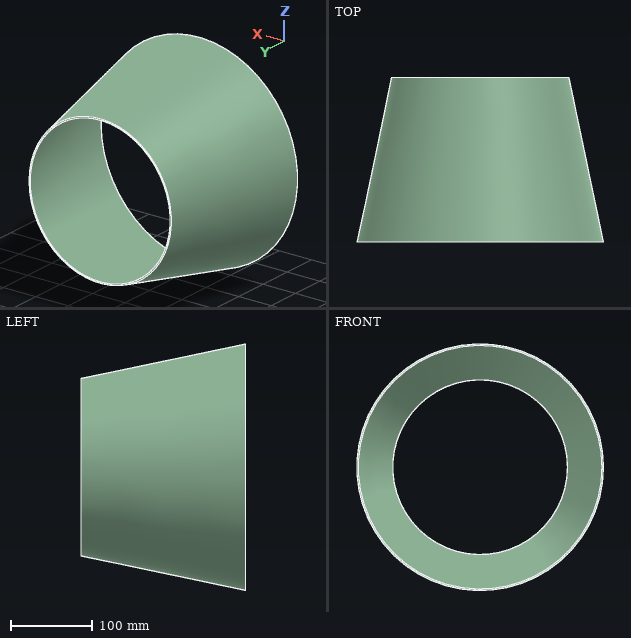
import cadquery as cq

wide_diameter = 304.0
narrow_diameter = 219.0
length = 203.0
wall = 2.0

wide_radius = wide_diameter / 2
narrow_radius = narrow_diameter / 2
wide_end_y = -length / 2
narrow_end_y = length / 2

wall_section = (
    cq.Workplane("XY")
    .moveTo(wide_radius - wall, wide_end_y)
    .lineTo(wide_radius, wide_end_y)
    .lineTo(narrow_radius, narrow_end_y)
    .lineTo(narrow_radius - wall, narrow_end_y)
    .close()
)

result = wall_section.revolve(360, (0, 0, 0), (0, 1, 0))